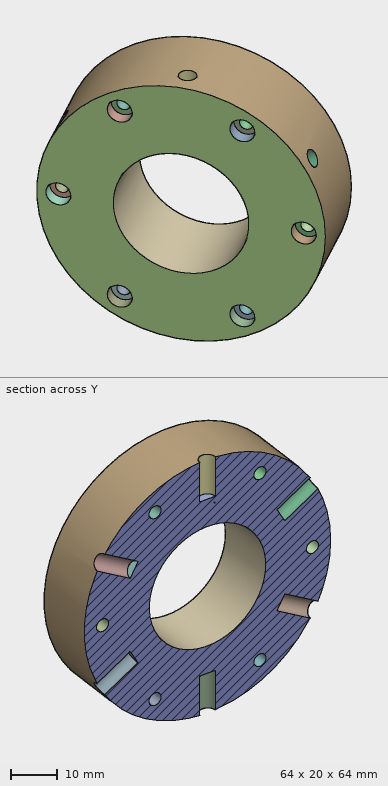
import cadquery as cq

outer_diameter = 64.0
bore_diameter = 30.0
thickness = 20.0

hole_count = 6
screw_circle_radius = 27.2
screw_diameter = 3.0
counterbore_diameter = 5.5
counterbore_depth = 3.0

radial_diameter = 4.0
radial_depth = 10.0
radial_setback = thickness / 4

angle_step = 360 / hole_count


def make_ring():
    """Flat ring extending from the front face toward +Y."""
    return (
        cq.Workplane("XZ")
        .circle(outer_diameter / 2)
        .circle(bore_diameter / 2)
        .extrude(-thickness)
    )


def cut_screw_holes(body):
    """Through holes, counterbored from the front face."""
    return (
        body.faces("<Y")
        .workplane(origin=(0, 0, 0))
        .polarArray(screw_circle_radius, 0, 360, hole_count)
        .cboreHole(screw_diameter, counterbore_diameter, counterbore_depth)
    )


def cut_radial_holes(body):
    """Blind holes drilled inward from the rim, the first at the top."""
    drill = (
        cq.Workplane("XY", origin=(0, radial_setback, outer_diameter / 2 - radial_depth))
        .circle(radial_diameter / 2)
        .extrude(2 * radial_depth)
    )
    for index in range(hole_count):
        body = body.cut(drill.rotate((0, 0, 0), (0, 1, 0), index * angle_step))
    return body


result = cut_radial_holes(cut_screw_holes(make_ring()))